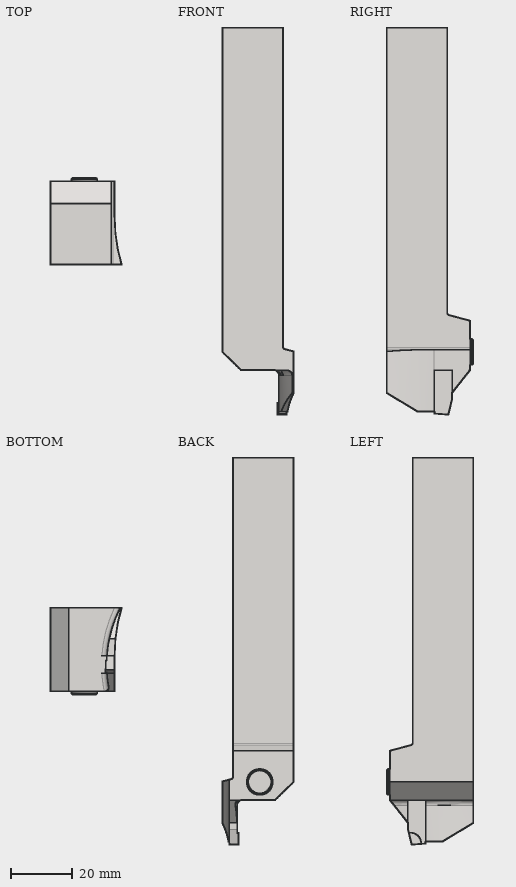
import cadquery as cq
import math

total_length = 126.35
shank_width = 19.9
overall_depth = 28.4

head_bottom = 14.6
head_depth = 27.3
side_step_height = 21.6
back_step_height = 32.7
step_slope = math.radians(15)
step_fillet = 0.6
corner_cut_width = 6.1
corner_cut_height = 5.9

blade_outer_max = 23.33
blade_outer_flat = 21.05
outer_tangent_y = 15.5
blade_inner_min = 18.4
inner_apex_y = 18.5
inner_radius = 41.0
blade_root_fillet = 1.75
blade_bottom = 1.05
blade_front_cut_y = 10.1
blade_front_cut_z = 7.1

insert_front = 15.6
insert_back = 21.45
tip_y = 20.2
rake_start_z = 5.1
heel_z = 0.35
blade_back_cut_z = 7.2
nose_center_y = 20.5
nose_center_z = 0.5
nose_radius = 3.4
nose_overhang = 0.45
nose_heel_overhang = 0.1
nose_corner_radius = 0.2

screw_diameter = 8.5
screw_chamfer = 0.5
screw_x = 11.1
screw_z = 20.5

outer_rise = blade_outer_max - blade_outer_flat
outer_radius = (outer_tangent_y**2 + outer_rise**2) / (2 * outer_rise)
outer_mid_y = outer_tangent_y / 2


def outer_x(y):
    """X of the curved outer face, a circle tangent to the flat at outer_tangent_y."""
    offset = outer_tangent_y - y
    return blade_outer_flat + outer_radius - math.sqrt(outer_radius**2 - offset**2)


def inner_x(y):
    """X of the curved inner blade face, nearest to -X at inner_apex_y."""
    offset = inner_apex_y - y
    return blade_inner_min + inner_radius - math.sqrt(inner_radius**2 - offset**2)


def side_prism(points, x_start, x_end):
    """Extrude a closed outline of (Y, Z) points along X."""
    return cq.Workplane("YZ", origin=(x_start, 0, 0)).polyline(points).close().extrude(x_end - x_start)


def make_shank():
    return (
        cq.Workplane("XY", origin=(0, 0, head_bottom))
        .rect(shank_width, shank_width, centered=False)
        .extrude(total_length - head_bottom)
    )


def make_back_block():
    """Block behind the shank with a top sloping down toward +Y."""
    back_drop = (head_depth - shank_width) * math.tan(step_slope)
    return side_prism(
        [
            (shank_width, head_bottom),
            (head_depth, head_bottom),
            (head_depth, back_step_height - back_drop),
            (shank_width, back_step_height),
        ],
        0,
        shank_width,
    )


def make_lower_head():
    """Head with the curved blade below it and a sloped step beside the shank."""
    plan = (
        cq.Workplane("XY")
        .lineTo(blade_outer_max, 0)
        .threePointArc((outer_x(outer_mid_y), outer_mid_y), (blade_outer_flat, outer_tangent_y))
        .lineTo(blade_outer_flat, head_depth)
        .lineTo(0, head_depth)
        .close()
        .extrude(side_step_height)
    )
    beside_blade = (
        cq.Workplane("XY")
        .lineTo(inner_x(0), 0)
        .threePointArc((blade_inner_min, inner_apex_y), (inner_x(head_depth), head_depth))
        .lineTo(0, head_depth)
        .close()
        .extrude(head_bottom)
    )
    side_drop = (blade_outer_max - shank_width) * math.tan(step_slope)
    slope_cut = (
        cq.Workplane("XZ")
        .polyline(
            [
                (shank_width, side_step_height),
                (blade_outer_max, side_step_height),
                (blade_outer_max, side_step_height - side_drop),
            ]
        )
        .close()
        .extrude(-head_depth)
    )
    root_edge = cq.selectors.NearestToPointSelector((blade_inner_min, inner_apex_y, head_bottom))
    head = plan.cut(beside_blade).edges(root_edge).fillet(blade_root_fillet)
    return head.cut(blade_end_cuts()).cut(slope_cut)


def blade_end_cuts():
    """Material removed below the head: both sloped blade ends, the bottom and the insert seat."""
    return side_prism(
        [
            (0, 0),
            (0, blade_front_cut_z),
            (blade_front_cut_y, blade_bottom),
            (insert_front, blade_bottom),
            (insert_front, head_bottom),
            (insert_back, head_bottom),
            (insert_back, blade_back_cut_z),
            (head_depth, head_bottom),
            (head_depth, 0),
        ],
        0,
        blade_outer_max,
    )


def make_corner_cut():
    return (
        cq.Workplane("XZ")
        .polyline(
            [
                (0, head_bottom),
                (corner_cut_width, head_bottom),
                (0, head_bottom + corner_cut_height),
            ]
        )
        .close()
        .extrude(-head_depth)
    )


def make_screw_end():
    return (
        cq.Workplane("XZ", origin=(screw_x, head_depth, screw_z))
        .circle(screw_diameter / 2)
        .extrude(head_depth - overall_depth)
        .faces(">Y")
        .chamfer(screw_chamfer)
    )


def make_holder():
    holder = make_lower_head().union(make_back_block()).union(make_shank())
    side_corner = cq.selectors.BoxSelector(
        (shank_width - step_fillet, 0, side_step_height - step_fillet),
        (shank_width + step_fillet, head_depth, side_step_height + step_fillet),
    )
    back_corner = cq.selectors.BoxSelector(
        (0, shank_width - step_fillet, back_step_height - step_fillet),
        (shank_width, shank_width + step_fillet, back_step_height + step_fillet),
    )
    holder = holder.edges(side_corner).edges("|Y").fillet(step_fillet)
    holder = holder.edges(back_corner).edges("|X").fillet(step_fillet)
    return holder.cut(make_corner_cut()).union(make_screw_end())


def make_insert():
    """Bar filling the blade seat, with a round nose that overhangs the inner blade side."""
    outline = [
        (insert_front, head_bottom),
        (insert_back, head_bottom),
        (insert_back, rake_start_z),
        (tip_y, 0),
        (insert_front, heel_z),
    ]
    bar = side_prism(outline, blade_inner_min, blade_outer_flat)
    nose_x = blade_inner_min - nose_overhang
    nose = (
        cq.Workplane("YZ", origin=(nose_x, nose_center_y, nose_center_z))
        .circle(nose_radius)
        .extrude(nose_overhang)
        .intersect(side_prism(outline, nose_x, blade_inner_min))
    )
    relief = (
        cq.Workplane("XY")
        .polyline(
            [
                (nose_x, insert_back),
                (nose_x, insert_front),
                (blade_inner_min - nose_heel_overhang, insert_front),
            ]
        )
        .close()
        .extrude(head_bottom)
    )
    rounded_corners = (
        cq.Workplane("XY", origin=(nose_x, insert_front, 0))
        .box(blade_outer_flat - nose_x, insert_back - insert_front, head_bottom, centered=False)
        .faces("<Z")
        .edges("|Y")
        .fillet(nose_corner_radius)
    )
    return bar.union(nose.cut(relief)).intersect(rounded_corners)


holder = make_holder()
insert = make_insert()

result = cq.Compound.makeCompound([holder.solids().val(), insert.solids().val()])